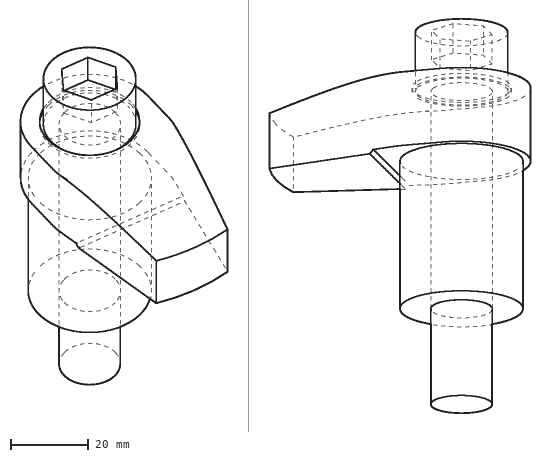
import cadquery as cq
import math

hook_width = 36.0
end_radius = hook_width / 2
flat_length = 10.0
hook_height = 20.0
arm_reach = 50.0
side_taper = math.radians(10.6)
top_slope = math.radians(15)
pad_drop = 1.0
pad_start = 20.0

post_diameter = 32.0
post_length = 40.0

head_diameter = 24.0
head_above_hook = 15.0
shank_diameter = 16.0
shank_below_post = 26.0
socket_across_flats = 14.0
socket_depth = 8.0

recess_diameter = 26.0
recess_depth = 1.0

post_bottom = -hook_height - post_length


def hook_outline():
    """Obround head whose far end runs tangentially into a tapered, round-tipped arm."""
    blend_x = flat_length + end_radius * math.sin(side_taper)
    blend_y = end_radius * math.cos(side_taper)
    blend_mid_x = flat_length + end_radius * math.sin(side_taper / 2)
    blend_mid_y = end_radius * math.cos(side_taper / 2)
    side_distance = end_radius + flat_length * math.sin(side_taper)
    tip_angle = math.asin(side_distance / arm_reach) - side_taper
    tip_x = arm_reach * math.cos(tip_angle)
    tip_y = arm_reach * math.sin(tip_angle)
    return (
        cq.Workplane("XY")
        .moveTo(0, -end_radius)
        .lineTo(flat_length, -end_radius)
        .threePointArc((blend_mid_x, -blend_mid_y), (blend_x, -blend_y))
        .lineTo(tip_x, -tip_y)
        .threePointArc((arm_reach, 0), (tip_x, tip_y))
        .lineTo(blend_x, blend_y)
        .threePointArc((blend_mid_x, blend_mid_y), (flat_length, end_radius))
        .lineTo(0, end_radius)
        .threePointArc((-end_radius, 0), (0, -end_radius))
        .close()
    )


def top_slope_cutter():
    """Half ring above a cone that falls away on the arm side of the flat head."""
    outer_radius = 2 * arm_reach
    fall = (outer_radius - end_radius) * math.tan(top_slope)
    return (
        cq.Workplane("XZ")
        .moveTo(end_radius, 0)
        .lineTo(outer_radius, 0)
        .lineTo(outer_radius, -fall)
        .close()
        .revolve(180, (0, 0, 0), (0, 1, 0))
        .rotate((0, 0, 0), (0, 0, 1), -90)
        .translate((flat_length, 0, 0))
    )


def underside_cutter():
    """Space under the head, ending in a 45 degree step down to the clamping face."""
    underside = -hook_height
    return (
        cq.Workplane("XZ")
        .moveTo(-hook_width, underside)
        .lineTo(pad_start - pad_drop, underside)
        .lineTo(pad_start, underside - pad_drop)
        .lineTo(-hook_width, underside - pad_drop)
        .close()
        .extrude(hook_width, both=True)
    )


def make_hook():
    """Hook and post in one piece, bored and recessed for the screw."""
    hook = hook_outline().extrude(-hook_height - pad_drop)
    hook = hook.cut(underside_cutter()).cut(top_slope_cutter())
    post = (
        cq.Workplane("XY", origin=(0, 0, post_bottom))
        .circle(post_diameter / 2)
        .extrude(post_length)
    )
    bore = (
        cq.Workplane("XY", origin=(0, 0, post_bottom))
        .circle(shank_diameter / 2)
        .extrude(-post_bottom)
    )
    recess = cq.Workplane("XY").circle(recess_diameter / 2).extrude(-recess_depth)
    return hook.union(post).cut(bore).cut(recess)


def make_screw():
    """Socket head screw whose head rests on the floor of the recess."""
    head = (
        cq.Workplane("XY", origin=(0, 0, -recess_depth))
        .circle(head_diameter / 2)
        .extrude(recess_depth + head_above_hook)
    )
    shank_bottom = post_bottom - shank_below_post
    shank = (
        cq.Workplane("XY", origin=(0, 0, shank_bottom))
        .circle(shank_diameter / 2)
        .extrude(-recess_depth - shank_bottom)
    )
    corner_diameter = socket_across_flats / math.cos(math.radians(30))
    socket = (
        cq.Workplane("XY", origin=(0, 0, head_above_hook))
        .transformed(rotate=(0, 0, 30))
        .polygon(6, corner_diameter)
        .extrude(-socket_depth)
    )
    return head.union(shank).cut(socket)


hook = make_hook()
screw = make_screw()

result = cq.Compound.makeCompound([hook.solids().val(), screw.solids().val()])